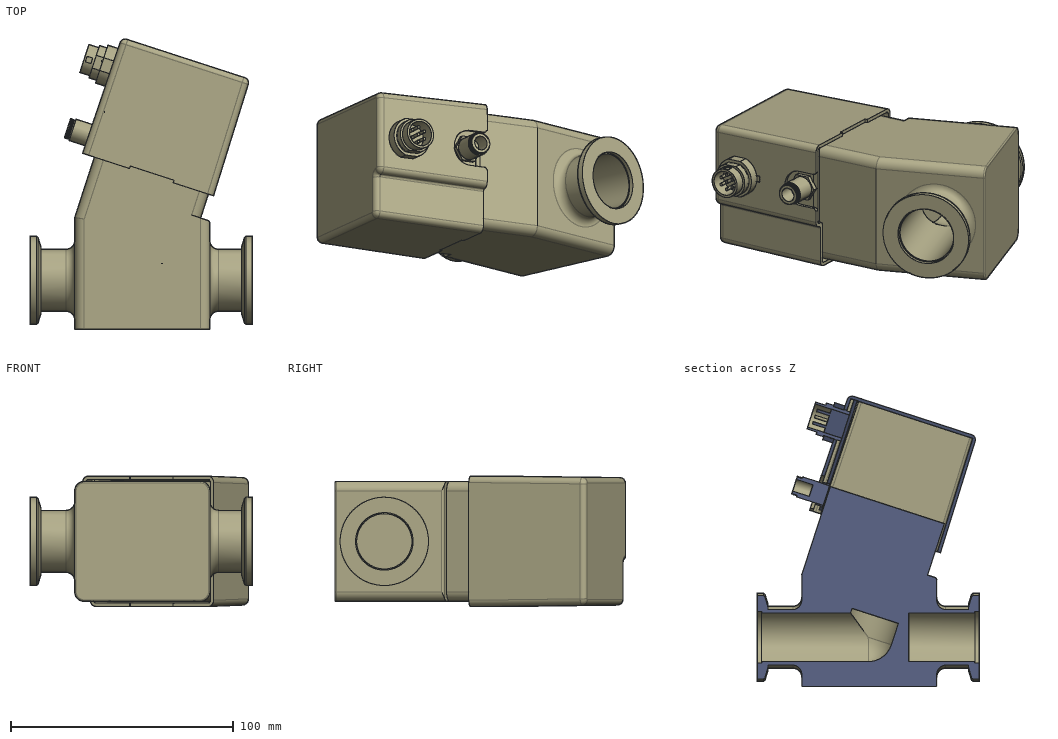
import cadquery as cq
import math

HEAD_TILT = 18.0
SIN_TILT = math.sin(math.radians(HEAD_TILT))
COS_TILT = math.cos(math.radians(HEAD_TILT))

BLOCK_LEFT = -30.0
BLOCK_RIGHT = 30.9
BLOCK_BOTTOM = -22.2
BODY_DEPTH = 54.0
BEND_Y = 28.3
BODY_EDGE_RADIUS = 4.3
BLOCK_END_RADIUS = 0.7
SHOULDER_RADIUS = 1.3

PORT_SPAN = 100.0
FLANGE_RADIUS = 19.9
FLANGE_RIM = 2.7
FLANGE_EDGE_LENGTH = 0.8
FLANGE_EDGE_DROP = 0.5
FLANGE_CONE_LENGTH = 1.5
FLANGE_CONE_RADIUS = 14.8
NECK_RADIUS = 14.0
NECK_ROOT_RADIUS = 3.9
PORT_OVERLAP = 1.3
BORE_RADIUS = 12.4
RECESS_RADIUS = 13.0
RECESS_DEPTH = 2.0
CHAMBER_HEIGHT = 10.1
BLIND_BORE_X = 18.3

NECK_LEFT = BLOCK_LEFT * COS_TILT - BEND_Y * SIN_TILT
NECK_RIGHT = NECK_LEFT + BODY_DEPTH
NECK_CENTRE = (NECK_LEFT + NECK_RIGHT) / 2
RIM_Y = 46.2
NECK_INSERTION = 13.1
SHOULDER_Y = 34.9

COVER_LEFT = -42.8
COVER_RIGHT = 19.2
COVER_DEPTH = 58.7
COVER_HALF_DEPTH = COVER_DEPTH / 2
COVER_LENGTH = 55.0
STEP_WIDTH = 3.7
STEP_Z = -9.7
COVER_DRAFT = 0.7
COVER_WALL = 1.6
COVER_EDGE_RADIUS = 2.9
STEP_CORNER_RADIUS = 1.0
COVER_CAP_RADIUS = 2.5
NOTCH_WIDTH = 20.7
NOTCH_DEPTH = 1.2

PLATE_X = COVER_LEFT + STEP_WIDTH
PLATE_BACK_X = PLATE_X + COVER_WALL
PLATE_SETBACK = 1.6
PLATE_LIP_WIDTH = 2.2
PLATE_LIP_DEPTH = 0.4

CONNECTOR_Z = 7.7
PLUG_Y = 87.0
PLUG_TIP_X = -55.2
PLUG_SHELL_RADIUS = 6.7
PLUG_RING_X = -50.5
PLUG_RING_RADIUS = 7.7
PLUG_NUT_X = -47.0
PLUG_NUT_RADIUS = 9.0
PLUG_STEM_RADIUS = 7.2
PLUG_FLAT_WIDTH = 6.0
PLUG_BORE_RADIUS = 5.6
PLUG_BORE_DEPTH = 7.7
PLUG_MARK_WIDTH = 2.6
PLUG_MARK_START = 0.9
PLUG_MARK_SINK = 0.3
KEYWAY_WIDTH = 2.9
KEYWAY_REACH = 10.3
KEYWAY_DEPTH = 0.9
RING_PIN_COUNT = 6
PIN_CIRCLE_RADIUS = 3.4
PIN_RADIUS = 0.7
PIN_LENGTH = 6.0

JACK_Y = 54.8
JACK_TIP_X = -52.7
JACK_RADIUS = 5.1
JACK_TIP_RADIUS = 4.6
JACK_TIP_LENGTH = 2.5
JACK_GROOVE_COUNT = 2
JACK_GROOVE_WIDTH = 0.4
JACK_GROOVE_DEPTH = 0.3
JACK_BORE_RADIUS = 3.1
JACK_BORE_DEPTH = 7.8
NUT_ACROSS_FLATS = 11.0
NUT_THICKNESS = 3.5
SLOT_RADIUS = 8.1
SLOT_CHAMFER = 1.0


def tilt(shape):
    """Turn a part of the head from its upright frame into place."""
    return shape.rotate((0, 0, 0), (0, 0, 1), -HEAD_TILT)


def block_box(x0, x1, y0, y1, z0, z1):
    """Rectangular block between two opposite corners."""
    return cq.Workplane("XY").box(x1 - x0, y1 - y0, z1 - z0, centered=False).translate((x0, y0, z0))


def rod_x(y, z, radius, x0, x1):
    """Cylinder along X between x0 and x1."""
    return cq.Workplane("YZ", origin=(x0, y, z)).circle(radius).extrude(x1 - x0)


def in_place(x, y):
    """Where a point of the upright head frame lies once the head is tilted."""
    return (x * COS_TILT + y * SIN_TILT, y * COS_TILT - x * SIN_TILT)


def edge_waste(side_x, y0, y1):
    """What rounding removes from the upper and lower edges along Y of the face at side_x."""
    inner_x = side_x - BODY_EDGE_RADIUS
    inner_z = BODY_DEPTH / 2 - BODY_EDGE_RADIUS
    corner = block_box(inner_x, side_x, y0, y1, inner_z, BODY_DEPTH / 2)
    centre = cq.Workplane("XZ", origin=(inner_x, y0, inner_z))
    waste = corner.cut(centre.circle(BODY_EDGE_RADIUS).extrude(y0 - y1))
    return waste.union(waste.mirror("XY"))


def valve_block():
    """Block with the tilted square neck; the right shoulder is square to the neck."""
    shoulder_outer_y = (SHOULDER_Y - BLOCK_RIGHT * SIN_TILT) / COS_TILT
    neck_end_y = RIM_Y + NECK_INSERTION
    outline = [
        (BLOCK_LEFT, BLOCK_BOTTOM),
        (BLOCK_RIGHT, BLOCK_BOTTOM),
        (BLOCK_RIGHT, shoulder_outer_y),
        in_place(NECK_RIGHT, SHOULDER_Y),
        in_place(NECK_RIGHT, neck_end_y),
        in_place(NECK_LEFT, neck_end_y),
        (BLOCK_LEFT, BEND_Y),
    ]
    block = cq.Workplane("XY").polyline(outline).close().extrude(BODY_DEPTH / 2, both=True)
    block = block.edges(cq.selectors.NearestToPointSelector((BLOCK_RIGHT, shoulder_outer_y, 0)))
    block = block.fillet(SHOULDER_RADIUS)
    left_edges = cq.selectors.BoxSelector(
        (BLOCK_LEFT - BODY_DEPTH, BLOCK_BOTTOM, -BODY_DEPTH),
        (0, neck_end_y, BODY_DEPTH),
    )
    long_edges = cq.selectors.ParallelDirSelector(cq.Vector(0, 1, 0))
    long_edges += cq.selectors.ParallelDirSelector(cq.Vector(SIN_TILT, COS_TILT, 0))
    block = block.edges(long_edges & left_edges).fillet(BODY_EDGE_RADIUS)
    shoulder_inner_y = in_place(NECK_RIGHT, SHOULDER_Y)[1]
    block = block.cut(edge_waste(BLOCK_RIGHT, BLOCK_BOTTOM, shoulder_inner_y))
    block = block.cut(tilt(edge_waste(NECK_RIGHT, SHOULDER_Y, neck_end_y)))
    return block.faces("<Y").edges().fillet(BLOCK_END_RADIUS)


def port(face_x):
    """Solid flanged neck towards +X from the block side at face_x."""
    end = PORT_SPAN / 2
    rim_start = end - FLANGE_RIM
    edge_start = rim_start - FLANGE_EDGE_LENGTH
    cone_start = edge_start - FLANGE_CONE_LENGTH
    root_radius = NECK_RADIUS + NECK_ROOT_RADIUS
    inner_x = face_x - PORT_OVERLAP
    profile = (
        cq.Workplane("XY")
        .moveTo(inner_x, 0)
        .lineTo(end, 0)
        .lineTo(end, FLANGE_RADIUS)
        .lineTo(rim_start, FLANGE_RADIUS)
        .lineTo(edge_start, FLANGE_RADIUS - FLANGE_EDGE_DROP)
        .lineTo(cone_start, FLANGE_CONE_RADIUS)
        .lineTo(cone_start, NECK_RADIUS)
        .lineTo(face_x + NECK_ROOT_RADIUS, NECK_RADIUS)
        .radiusArc((face_x, root_radius), NECK_ROOT_RADIUS)
        .lineTo(inner_x, root_radius)
        .close()
    )
    return profile.revolve(360, (0, 0, 0), (1, 0, 0))


def port_bores():
    """Left bore, the round-ended tilted chamber it turns into, and the right bore, which is blind."""
    end = PORT_SPAN / 2
    above_chamber = block_box(-end, end, CHAMBER_HEIGHT, end, -BODY_DEPTH, BODY_DEPTH)
    left_bore = rod_x(0, 0, BORE_RADIUS, -end, 0).cut(tilt(above_chamber))
    chamber_profile = (
        cq.Workplane("XY")
        .moveTo(0, -BORE_RADIUS)
        .radiusArc((BORE_RADIUS, 0), -BORE_RADIUS)
        .lineTo(BORE_RADIUS, CHAMBER_HEIGHT)
        .lineTo(0, CHAMBER_HEIGHT)
        .close()
    )
    chamber = tilt(chamber_profile.revolve(360, (0, 0, 0), (0, 1, 0)))
    right_bore = rod_x(0, 0, BORE_RADIUS, BLIND_BORE_X, end)
    left_recess = rod_x(0, 0, RECESS_RADIUS, -end, RECESS_DEPTH - end)
    right_recess = rod_x(0, 0, RECESS_RADIUS, end - RECESS_DEPTH, end)
    return [left_bore, chamber, right_bore, left_recess, right_recess]


def make_valve_body():
    """Block, neck and both flanged ports in one solid."""
    right_port = port(BLOCK_RIGHT)
    left_port = port(-BLOCK_LEFT).mirror("YZ")
    body = valve_block().union(right_port).union(left_port)
    for bore in port_bores():
        body = body.cut(bore)
    return body


def cover_solid(inset, length):
    """Drafted block of the cover's stepped section, its walls moved inwards by inset."""
    draft_shift = length * math.tan(math.radians(COVER_DRAFT))

    def section(shift):
        left = COVER_LEFT + shift
        right = COVER_RIGHT - shift
        half_depth = COVER_HALF_DEPTH - shift
        step_z = STEP_Z + shift
        return [
            (left, half_depth),
            (right, half_depth),
            (right, -half_depth),
            (left + STEP_WIDTH, -half_depth),
            (left + STEP_WIDTH, step_z),
            (left, step_z),
        ]

    block = (
        cq.Workplane("XZ", origin=(0, RIM_Y, 0))
        .polyline(section(inset))
        .close()
        .workplane(offset=-length)
        .polyline(section(inset + draft_shift))
        .close()
        .loft(ruled=True)
    )
    middle_y = RIM_Y + length / 2
    corners = section(inset + draft_shift / 2)
    inner_corner = 4
    for number, (x, z) in enumerate(corners):
        radius = STEP_CORNER_RADIUS if number == inner_corner else COVER_EDGE_RADIUS - inset
        edge = cq.selectors.NearestToPointSelector((x, middle_y, z))
        block = block.edges(edge).fillet(radius)
    return block


def cover_cavity():
    """Space inside the cover."""
    return cover_solid(COVER_WALL, COVER_LENGTH - COVER_WALL)


def jack_slot():
    """Open-ended slot in the raised side, with its mouth corners chamfered."""
    outline = [
        (RIM_Y, SLOT_RADIUS + SLOT_CHAMFER),
        (RIM_Y + SLOT_CHAMFER, SLOT_RADIUS),
        (JACK_Y, SLOT_RADIUS),
        (JACK_Y, -SLOT_RADIUS),
        (RIM_Y + SLOT_CHAMFER, -SLOT_RADIUS),
        (RIM_Y, -SLOT_RADIUS - SLOT_CHAMFER),
    ]
    plane = cq.Workplane("YZ", origin=(COVER_LEFT, 0, CONNECTOR_Z))
    mouth = plane.polyline(outline).close().extrude(STEP_WIDTH)
    return mouth.union(rod_x(JACK_Y, CONNECTOR_Z, SLOT_RADIUS, COVER_LEFT, PLATE_X))


def make_cover():
    """Thin drafted cover with rim notches, the jack slot and a keyed plug hole."""
    cover = cover_solid(0, COVER_LENGTH)
    cover = cover.faces(">Y").edges().fillet(COVER_CAP_RADIUS)
    cover = cover.cut(cover_cavity())
    notch_half = NOTCH_WIDTH / 2
    cover = cover.cut(
        block_box(
            NECK_CENTRE - notch_half,
            NECK_CENTRE + notch_half,
            RIM_Y,
            RIM_Y + NOTCH_DEPTH,
            -COVER_HALF_DEPTH,
            COVER_HALF_DEPTH,
        )
    )
    cover = cover.cut(jack_slot())
    cover = cover.cut(rod_x(PLUG_Y, CONNECTOR_Z, PLUG_STEM_RADIUS, COVER_LEFT, PLATE_X))
    keyway = block_box(
        COVER_LEFT,
        COVER_LEFT + KEYWAY_DEPTH,
        PLUG_Y - KEYWAY_REACH,
        PLUG_Y,
        CONNECTOR_Z - KEYWAY_WIDTH / 2,
        CONNECTOR_Z + KEYWAY_WIDTH / 2,
    )
    return cover.cut(keyway)


def hexagon():
    """Solid hexagon of the jack nut, flats up and down, flush with the back of the plate."""
    across_corners = NUT_ACROSS_FLATS / math.cos(math.pi / 6)
    start = cq.Workplane("YZ", origin=(PLATE_BACK_X - NUT_THICKNESS, JACK_Y, CONNECTOR_Z))
    return start.polygon(6, across_corners).extrude(NUT_THICKNESS)


def make_plate():
    """Plate across the cavity behind the raised side, thinner at its lip, with the nut's hole."""
    slab = block_box(
        PLATE_X,
        PLATE_BACK_X,
        RIM_Y + PLATE_SETBACK,
        RIM_Y + COVER_LENGTH,
        STEP_Z + COVER_WALL,
        COVER_HALF_DEPTH,
    )
    lip_y = RIM_Y + PLATE_SETBACK
    lip = block_box(
        PLATE_X,
        PLATE_X + PLATE_LIP_DEPTH,
        lip_y,
        lip_y + PLATE_LIP_WIDTH,
        -COVER_HALF_DEPTH,
        COVER_HALF_DEPTH,
    )
    return slab.intersect(cover_cavity()).cut(lip).cut(hexagon())


def flatted_rod(radius, x0, x1):
    """Rod on the plug axis with a flat of fixed width on its top and bottom."""
    flat_height = math.sqrt(radius**2 - (PLUG_FLAT_WIDTH / 2) ** 2)
    band = block_box(
        x0,
        x1,
        PLUG_Y - radius,
        PLUG_Y + radius,
        CONNECTOR_Z - flat_height,
        CONNECTOR_Z + flat_height,
    )
    return rod_x(PLUG_Y, CONNECTOR_Z, radius, x0, x1).intersect(band)


def make_plug_shell():
    """Stepped shell through the cover wall, with a socket and a square mark on top."""
    tip = rod_x(PLUG_Y, CONNECTOR_Z, PLUG_SHELL_RADIUS, PLUG_TIP_X, PLUG_RING_X)
    ring = flatted_rod(PLUG_RING_RADIUS, PLUG_RING_X, PLUG_NUT_X)
    stem = rod_x(PLUG_Y, CONNECTOR_Z, PLUG_STEM_RADIUS, PLUG_NUT_X, PLATE_X)
    socket = rod_x(PLUG_Y, CONNECTOR_Z, PLUG_BORE_RADIUS, PLUG_TIP_X, PLATE_X)
    mark = block_box(
        PLUG_TIP_X + PLUG_MARK_START,
        PLUG_TIP_X + PLUG_MARK_START + PLUG_MARK_WIDTH,
        PLUG_Y - PLUG_MARK_WIDTH / 2,
        PLUG_Y + PLUG_MARK_WIDTH / 2,
        CONNECTOR_Z + PLUG_SHELL_RADIUS - PLUG_MARK_SINK,
        CONNECTOR_Z + PLUG_SHELL_RADIUS,
    )
    return tip.union(ring).union(stem).cut(socket).cut(mark)


def make_plug_insert():
    """Contact carrier at the bottom of the socket with one pin inside a ring of pins."""
    floor_x = PLUG_TIP_X + PLUG_BORE_DEPTH
    insert = rod_x(PLUG_Y, CONNECTOR_Z, PLUG_BORE_RADIUS, floor_x, PLATE_X)
    pins = [(0, 0)]
    for number in range(RING_PIN_COUNT):
        angle = 2 * math.pi * number / RING_PIN_COUNT
        pins.append((PIN_CIRCLE_RADIUS * math.sin(angle), PIN_CIRCLE_RADIUS * math.cos(angle)))
    for y, z in pins:
        pin = rod_x(PLUG_Y + y, CONNECTOR_Z + z, PIN_RADIUS, floor_x - PIN_LENGTH, floor_x)
        insert = insert.union(pin)
    return insert


def make_plug_nut():
    """Collar round the plug stem that seats on the drafted cover wall."""
    collar = flatted_rod(PLUG_NUT_RADIUS, PLUG_NUT_X, COVER_LEFT + COVER_WALL)
    collar = collar.cut(rod_x(PLUG_Y, CONNECTOR_Z, PLUG_STEM_RADIUS, PLUG_NUT_X, PLATE_X))
    return collar.cut(cover_solid(0, COVER_LENGTH))


def make_jack():
    """Barrel reaching to the back of the plate, with a grooved tip and a blind bore."""
    tip_end = JACK_TIP_X + JACK_TIP_LENGTH
    jack = rod_x(JACK_Y, CONNECTOR_Z, JACK_RADIUS, tip_end, PLATE_BACK_X)
    jack = jack.union(rod_x(JACK_Y, CONNECTOR_Z, JACK_TIP_RADIUS, JACK_TIP_X, tip_end))
    pitch = JACK_TIP_LENGTH / (JACK_GROOVE_COUNT + 1)
    for number in range(JACK_GROOVE_COUNT):
        start = JACK_TIP_X + (number + 1) * pitch - JACK_GROOVE_WIDTH / 2
        end = start + JACK_GROOVE_WIDTH
        ring = rod_x(JACK_Y, CONNECTOR_Z, JACK_TIP_RADIUS, start, end)
        core = rod_x(JACK_Y, CONNECTOR_Z, JACK_TIP_RADIUS - JACK_GROOVE_DEPTH, start, end)
        jack = jack.cut(ring.cut(core))
    return jack.cut(rod_x(JACK_Y, CONNECTOR_Z, JACK_BORE_RADIUS, JACK_TIP_X, JACK_TIP_X + JACK_BORE_DEPTH))


def make_jack_nut():
    """Hexagon nut round the foot of the jack, let into the plate."""
    return hexagon().cut(rod_x(JACK_Y, CONNECTOR_Z, JACK_RADIUS, COVER_LEFT, PLATE_BACK_X))


valve_body = make_valve_body()
cover = make_cover()
plate = make_plate()
plug_shell = make_plug_shell()
plug_insert = make_plug_insert()
plug_nut = make_plug_nut()
jack = make_jack()
jack_nut = make_jack_nut()
head_parts = [cover, plate, plug_shell, plug_insert, plug_nut, jack, jack_nut]

result = cq.Compound.makeCompound([valve_body.val(), *[tilt(part).val() for part in head_parts]])